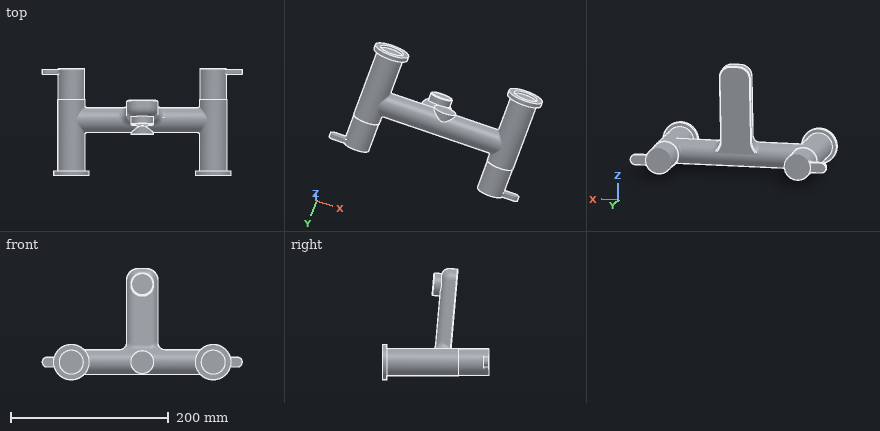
import cadquery as cq


bar_radius = 16.0
bar_joint_fillet = 2.0

body_spacing = 180.0
body_radius = 17.5
body_front = -70.4
body_length = 96.5
flange_radius = 22.5
flange_thickness = 5.8
bore_radius = 15.2
bore_depth = 3.0

overall_width = 254.0
overall_depth = 135.6
knob_radius = 17.0
knob_edge_fillet = 0.8
lever_width = 13.0
lever_thickness = 6.4
lever_inset = 1.0
lever_root_fillet = 4.0
lever_edge_fillet = 1.0

spout_lean = 5.0
spout_width = 40.1
spout_thickness = 20.3
spout_height = 120.0
spout_back = 15.5
spout_corner_radius = 15.0
spout_front_fillet = 10.0
spout_back_chamfer = 1.0
spout_root_fillet = 10.0

nozzle_radius = 14.5
nozzle_length = 10.0
nozzle_height = 98.0
nozzle_chamfer = 1.0
boss_radius = 14.5
boss_reach = 18.0

spout_back_excess = 15.2

tolerance = 0.3

body_x = body_spacing / 2
knob_back = body_front + overall_depth
spout_front = spout_back - spout_thickness


def cylinder_along_y(radius, y_start, y_end, x=0.0, z=0.0):
    """Solid cylinder parallel to Y between two Y positions."""
    plane = cq.Workplane(cq.Plane((x, y_start, z), xDir=(1, 0, 0), normal=(0, 1, 0)))
    return plane.circle(radius).extrude(y_end - y_start)


def lean_back(shape, angle=spout_lean):
    """Tip a shape back toward +Y about the bar axis; a negative angle stands it up again."""
    return shape.rotate((0, 0, 0), (1, 0, 0), -angle)


def make_bar():
    """Cross bar between the axes of the two valve bodies."""
    plane = cq.Plane((0, 0, 0), xDir=(0, -1, 0), normal=(1, 0, 0))
    return cq.Workplane(plane).circle(bar_radius).extrude(body_x, both=True)


def make_spout_blank():
    """Leaning spout with rounded top corners and front edges, left too thick at the back."""
    depth = spout_thickness + spout_back_excess
    blank = cq.Workplane("XZ", origin=(0, spout_front + depth, 0))
    blank = blank.rect(spout_width, 2 * spout_height).extrude(depth)
    blank = blank.edges("|Y and >Z").fillet(spout_corner_radius)
    blank = blank.faces("<Y").edges().fillet(spout_front_fillet)
    above_bar_axis = cq.Workplane("XY").box(
        2 * spout_width, 4 * depth, spout_height, centered=(True, True, False)
    )
    return lean_back(blank.intersect(above_bar_axis))


def make_bar_with_spout():
    """Bar and spout blended by the root fillet, with the back of the spout cut flat."""
    joined = make_bar().union(make_spout_blank())
    root_zone = cq.selectors.BoxSelector(
        (-spout_width, -bar_radius - tolerance, -tolerance),
        (spout_width, bar_radius + tolerance, bar_radius + tolerance),
        boundingbox=True,
    )
    joined = joined.edges(root_zone).fillet(spout_root_fillet)

    behind_spout = cq.Workplane("XY", origin=(0, spout_back, 0)).box(
        2 * spout_width, 2 * spout_back_excess, 3 * spout_height, centered=(True, False, True)
    )
    joined = joined.cut(lean_back(behind_spout).cut(make_bar()))

    upright = lean_back(joined, -spout_lean)
    rim_zone = cq.selectors.BoxSelector(
        (-spout_width, spout_back - tolerance, 2 * bar_radius),
        (spout_width, spout_back + tolerance, spout_height + tolerance),
    )
    upright = upright.edges(rim_zone).chamfer(spout_back_chamfer)
    return lean_back(upright)


def make_nozzle():
    """Outlet standing square on the front of the spout."""
    nozzle = cylinder_along_y(nozzle_radius, spout_front - nozzle_length, 0, z=nozzle_height)
    return lean_back(nozzle.faces("<Y").chamfer(nozzle_chamfer))


def make_boss():
    """Round boss on the front of the bar."""
    return cylinder_along_y(boss_radius, -boss_reach, 0)


def add_bodies(bar):
    """Join both valve bodies to the bar with a small fillet around each joint."""
    for x in (-body_x, body_x):
        bar = bar.union(cylinder_along_y(body_radius, body_front, body_front + body_length, x))
    for side in (-1, 1):
        joint_x = side * (body_x - body_radius / 2)
        joint_zone = cq.selectors.BoxSelector(
            (joint_x - body_radius, -body_radius, -body_radius),
            (joint_x + body_radius, body_radius, body_radius),
            boundingbox=True,
        )
        bar = bar.edges(joint_zone).fillet(bar_joint_fillet)
    return bar


def make_flange(x):
    """Wall flange on the front end of a valve body."""
    return cylinder_along_y(flange_radius, body_front, body_front + flange_thickness, x)


def make_bore(x):
    """Shallow round recess in the front face of a flange."""
    return cylinder_along_y(bore_radius, body_front, body_front + bore_depth, x)


def make_knob():
    """Right-hand knob with its lever pointing toward +X."""
    knob = cylinder_along_y(knob_radius, body_front + body_length, knob_back, body_x)
    knob = knob.faces(">Y").edges().fillet(knob_edge_fillet)

    lever_back = knob_back - lever_inset
    lever_front = lever_back - lever_thickness
    half_width = lever_width / 2
    lever_tip = overall_width / 2
    tip_center = lever_tip - half_width
    lever = (
        cq.Workplane("XZ", origin=(0, lever_back, 0))
        .moveTo(body_x, half_width)
        .lineTo(tip_center, half_width)
        .threePointArc((lever_tip, 0), (tip_center, -half_width))
        .lineTo(body_x, -half_width)
        .close()
        .extrude(lever_thickness)
    )
    knob = knob.union(lever)

    root_start = body_x + knob_radius - lever_root_fillet
    root_zone = cq.selectors.BoxSelector(
        (root_start, lever_front, -lever_width), (body_x + knob_radius, lever_back, lever_width)
    )
    knob = knob.edges(root_zone).edges("|Y").fillet(lever_root_fillet)

    front_zone = cq.selectors.BoxSelector(
        (root_start, lever_front - tolerance, -lever_width), (lever_tip, lever_front + tolerance, lever_width)
    )
    return knob.edges(front_zone).fillet(lever_edge_fillet)


result = add_bodies(make_bar_with_spout())
result = result.union(make_nozzle())
result = result.union(make_boss())
for x in (-body_x, body_x):
    result = result.union(make_flange(x)).cut(make_bore(x))
right_knob = make_knob()
result = result.union(right_knob).union(right_knob.mirror("YZ"))